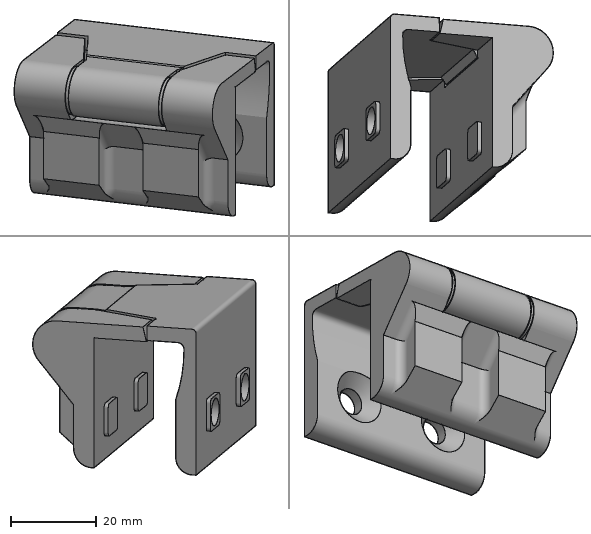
import cadquery as cq
import math


length = 50.0
front_bottom_round = 4.5
leaf_wall = 5.0
flange_thickness = 3.5

front_top = 35.0
barrel_radius = 6.0
axis_y = barrel_radius
axis_z = front_top - barrel_radius
socket_radius = 6.9

front_inner_y = 15.0
front_face_y = front_inner_y - leaf_wall
slope_foot_z = 15.0
flange_end_top_y = 27.0
flange_end_bottom_y = 27.85
cradle_top_z = 29.5

rear_top = 35.3
rear_underside = rear_top - flange_thickness
rear_back_y = 40.0
rear_inner_y = rear_back_y - leaf_wall
rear_bottom_round = 4.0
rear_outer_fillet = 1.0
rear_inner_fillet = 1.5
rear_thin_y = 37.0
rear_curve_bottom_z = 18.0
rear_curve_top_z = 30.0
tongue_root_y = 28.0
tongue_step_top_y = 14.35
tongue_step_foot_y = 14.05
gusset_start_y = 16.0
gusset_end_y = 14.85
gusset_bottom_z = 30.0

knuckle_half_width = 11.35
notch_half_width = 12.15
taper_start_y = 11.75
tongue_root_half_width = 17.3
notch_end_half_width = 18.1

pad_spacing = 25.0
pad_width = 14.0
pad_face_y = 5.0
pad_root_fillet = 2.0
pad_top_z = 22.5
pad_face_top_z = 18.35
pad_face_bottom_z = 6.7

boss_size = 7.9
boss_height = 1.0
boss_corner = 1.0
front_boss_z = 9.5
rear_boss_z = 12.4
hole_radius = 3.25
countersink_radius = 6.5

collar_radius = 5.75
pin_radius = 2.5
pin_engagement = 5.0

collar_spans = [(-notch_half_width, -knuckle_half_width), (knuckle_half_width, notch_half_width)]
station_xs = [-pad_spacing / 2, pad_spacing / 2]


def prism(outline, x_start, x_end):
    """Extrude a closed outline, drawn in (y, z), from x_start to x_end."""
    return outline.close().extrude(x_end - x_start).translate((x_start, 0, 0))


def sketch(y, z):
    """Start a (y, z) outline at the given point."""
    return cq.Workplane("YZ").moveTo(y, z)


def axis_cylinder(radius, x_start, x_end):
    """Cylinder on the hinge axis from x_start to x_end."""
    disc = cq.Workplane("YZ", origin=(x_start, axis_y, axis_z)).circle(radius)
    return disc.extrude(x_end - x_start)


def tangent_point(center_y, center_z, radius, from_y, from_z, turn):
    """Point where the line from (from_y, from_z) touches a circle, on the side chosen by turn (+1 or -1)."""
    dy = from_y - center_y
    dz = from_z - center_z
    angle = math.atan2(dz, dy) + turn * math.acos(radius / math.hypot(dy, dz))
    return center_y + radius * math.cos(angle), center_z + radius * math.sin(angle)


def plan_taper(start_half_width, end_half_width, end_y, z_start, z_end):
    """Straight strip in front of taper_start_y that widens towards end_y."""
    half = [(start_half_width, 0), (start_half_width, taper_start_y), (end_half_width, end_y)]
    mirrored = [(-x, y) for x, y in reversed(half)]
    outline = cq.Workplane("XY", origin=(0, 0, z_start)).polyline(half + mirrored)
    return outline.close().extrude(z_end - z_start)


def square_boss(x, y, z):
    """Square boss with rounded corners that stands out towards +Y."""
    boss = cq.Workplane("XY").box(boss_size, boss_height, boss_size)
    return boss.edges("|Y").fillet(boss_corner).translate((x, y + boss_height / 2, z))


barrel_touch = tangent_point(axis_y, axis_z, barrel_radius, front_face_y, slope_foot_z, -1)
round_center_y = front_face_y + front_bottom_round
round_mid_offset = front_bottom_round * math.sqrt(0.5)
round_mid = (round_center_y - round_mid_offset, front_bottom_round - round_mid_offset)


def front_profile():
    """Flange, barrel and front wall of the front leaf, across the full length."""
    outline = (
        sketch(flange_end_top_y, front_top)
        .lineTo(axis_y, front_top)
        .threePointArc((0, axis_z), barrel_touch)
        .lineTo(front_face_y, slope_foot_z)
        .lineTo(front_face_y, front_bottom_round)
        .threePointArc(round_mid, (round_center_y, 0))
        .lineTo(front_inner_y, 0)
        .lineTo(front_inner_y, front_top - flange_thickness)
        .lineTo(flange_end_bottom_y, front_top - flange_thickness)
    )
    return prism(outline, -length / 2, length / 2)


def pad(x):
    """Raised pad whose sides sweep into the front wall with a concave fillet."""
    slope_dy = front_face_y - barrel_touch[0]
    slope_dz = barrel_touch[1] - slope_foot_z
    reach = length
    wall = (
        sketch(front_face_y - slope_dy * 2, slope_foot_z + slope_dz * 2)
        .lineTo(front_face_y, slope_foot_z)
        .lineTo(front_face_y, front_bottom_round)
        .threePointArc(round_mid, (round_center_y, 0))
        .lineTo(reach, 0)
        .lineTo(reach, slope_foot_z + slope_dz * 2)
    )
    block = cq.Workplane("XY").box(pad_width, 2 * reach, 4 * reach)
    blank = prism(wall, -pad_width, pad_width).union(block)
    root_points = [
        barrel_touch,
        (front_face_y, (slope_foot_z + front_bottom_round) / 2),
        round_mid,
        ((round_center_y + reach) / 2, 0),
    ]
    roots = []
    for side_x in (-pad_width / 2, pad_width / 2):
        for y, z in root_points:
            roots += blank.edges(cq.selectors.NearestToPointSelector((side_x, y, z))).vals()
    blank = blank.newObject(roots).fillet(pad_root_fillet)
    top_y = front_face_y - slope_dy * (pad_top_z - slope_foot_z) / slope_dz
    foot = tangent_point(
        round_center_y, front_bottom_round, front_bottom_round, pad_face_y, pad_face_bottom_z, 1
    )
    outline = (
        sketch(top_y, pad_top_z)
        .lineTo(pad_face_y, pad_face_top_z)
        .lineTo(pad_face_y, pad_face_bottom_z)
        .lineTo(*foot)
        .lineTo(front_inner_y, foot[1])
        .lineTo(front_inner_y, pad_top_z)
    )
    half_span = pad_width / 2 + pad_root_fillet
    return blank.intersect(prism(outline, -half_span, half_span)).translate((x, 0, 0))


def make_front_leaf():
    leaf = front_profile()
    for x in station_xs:
        leaf = leaf.union(pad(x))
        leaf = leaf.union(square_boss(x, front_inner_y, front_boss_z))
    notch = plan_taper(notch_half_width, notch_end_half_width, tongue_root_y, cradle_top_z, rear_top)
    socket = axis_cylinder(socket_radius, -notch_half_width, notch_half_width)
    leaf = leaf.cut(notch).cut(socket)
    for x_start, x_end in collar_spans:
        cradle = cq.Workplane("XY").box(
            x_end - x_start, socket_radius, cradle_top_z - axis_z + collar_radius, centered=False
        )
        leaf = leaf.union(cradle.translate((x_start, axis_y, axis_z - collar_radius)))
    return leaf


def rear_plate():
    """Back wall and rear part of the flange, across the full length."""
    curve_rise = rear_curve_top_z - rear_curve_bottom_z
    curve_depth = rear_thin_y - rear_inner_y
    curve_radius = (curve_rise**2 + curve_depth**2) / (2 * curve_depth)
    curve_mid_y = rear_thin_y - curve_radius + math.sqrt(curve_radius**2 - (curve_rise / 2) ** 2)
    curve_mid_z = (rear_curve_top_z + rear_curve_bottom_z) / 2
    outline = (
        sketch(rear_back_y, 0)
        .lineTo(rear_back_y, rear_top)
        .lineTo(tongue_root_y, rear_top)
        .lineTo(tongue_root_y, rear_underside)
        .lineTo(rear_thin_y, rear_underside)
        .lineTo(rear_thin_y, rear_curve_top_z)
        .threePointArc((curve_mid_y, curve_mid_z), (rear_inner_y, rear_curve_bottom_z))
        .lineTo(rear_inner_y, rear_bottom_round)
        .radiusArc((rear_inner_y + rear_bottom_round, 0), -rear_bottom_round)
    )
    plate = prism(outline, -length / 2, length / 2)
    plate = plate.edges("|X and >Y and >Z").fillet(rear_outer_fillet)
    inner_corner = cq.selectors.NearestToPointSelector((0, rear_thin_y, rear_underside))
    return plate.edges("|X").edges(inner_corner).fillet(rear_inner_fillet)


def tongue():
    """Tapered part of the flange that reaches into the notch and down to the knuckle."""
    outline = (
        sketch(tongue_root_y, rear_top)
        .lineTo(tongue_step_top_y, rear_top)
        .lineTo(tongue_step_foot_y, front_top)
        .lineTo(axis_y, front_top)
        .lineTo(axis_y, gusset_bottom_z)
        .lineTo(gusset_end_y, gusset_bottom_z)
        .lineTo(gusset_start_y, rear_underside)
        .lineTo(tongue_root_y, rear_underside)
    )
    side = prism(outline, -length / 2, length / 2)
    return side.intersect(plan_taper(knuckle_half_width, tongue_root_half_width, tongue_root_y, 0, rear_top))


def countersunk_hole(x):
    """Through hole with a 90 degree countersink from the inside of the rear leaf."""
    cone_depth = countersink_radius - hole_radius
    facing_back = cq.Vector(0, 1, 0)
    start = cq.Vector(x, rear_inner_y, rear_boss_z)
    cone = cq.Solid.makeCone(countersink_radius, hole_radius, cone_depth, start, facing_back)
    bore = cq.Solid.makeCylinder(hole_radius, leaf_wall + boss_height, start, facing_back)
    return cq.Workplane(cone).union(cq.Workplane(bore))


def make_rear_leaf():
    leaf = rear_plate().union(tongue())
    leaf = leaf.union(axis_cylinder(barrel_radius, -knuckle_half_width, knuckle_half_width))
    for x in station_xs:
        leaf = leaf.union(square_boss(x, rear_back_y, rear_boss_z)).cut(countersunk_hole(x))
    return leaf


def make_pin():
    """Pin with a collar in each gap between the knuckle and the barrel ends."""
    pin_half_length = notch_half_width + pin_engagement
    pin = axis_cylinder(pin_radius, -pin_half_length, pin_half_length)
    for x_start, x_end in collar_spans:
        pin = pin.union(axis_cylinder(collar_radius, x_start, x_end))
    return pin


pin = make_pin()
front_leaf = make_front_leaf().cut(pin)
rear_leaf = make_rear_leaf().cut(pin)

bodies = [front_leaf, rear_leaf, pin]
result = cq.Compound.makeCompound([body.solids().val() for body in bodies])